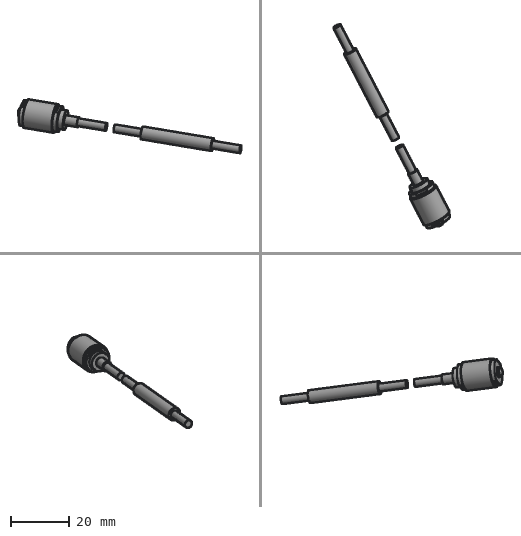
import cadquery as cq

body_dia = 10.0
land_dia = 9.0
collar_dia = 6.8
button_dia = 3.5
relief_dia = 3.5
cable_dia = 2.8
tube_dia = 4.5

dome_height = 0.7
front_face_x = 1.5
body_start_x = 3.0
body_end_x = 13.5
body_chamfer = 0.15
rear_face_x = 15.0
collar_end_x = 16.9
relief_end_x = 21.45
cable_break_x = 31.5

cable_restart_x = 34.5
tube_start_x = 44.35
tube_end_x = 69.5
overall_length = 79.5

flat_spacing = 8.0
flat_length = 1.0


def cylinder(diameter, start_x, end_x):
    """Round section on the X axis between two stations."""
    return cq.Workplane("YZ", origin=(start_x, 0, 0)).circle(diameter / 2).extrude(end_x - start_x)


def domed_button():
    """Round button closed by a spherical cap."""
    radius = button_dia / 2
    sphere_radius = (radius**2 + dome_height**2) / (2 * dome_height)
    sphere = cq.Workplane("XY").sphere(sphere_radius).translate((sphere_radius, 0, 0))
    return cylinder(button_dia, 0, front_face_x).intersect(sphere)


def chamfered_body():
    """Main barrel with a small chamfer on its rear rim."""
    return cylinder(body_dia, body_start_x, body_end_x).faces(">X").edges().chamfer(body_chamfer)


def cut_flats(solid, start_x):
    """Cut a pair of parallel flats over one flat length."""
    cutter_height = (body_dia - flat_spacing) / 2
    for side in (-1, 1):
        cutter = (
            cq.Workplane("XY")
            .box(flat_length, body_dia, cutter_height)
            .translate((start_x + flat_length / 2, 0, side * (flat_spacing + cutter_height) / 2))
        )
        solid = solid.cut(cutter)
    return solid


def make_sensor():
    """Stepped sensor head with its button, strain relief and cable stub."""
    sensor = cylinder(land_dia, front_face_x, rear_face_x)
    sensor = sensor.union(chamfered_body())
    sensor = cut_flats(sensor, front_face_x)
    sensor = cut_flats(sensor, rear_face_x - flat_length)
    sensor = sensor.union(domed_button())
    sensor = sensor.union(cylinder(collar_dia, rear_face_x, collar_end_x))
    sensor = sensor.union(cylinder(relief_dia, collar_end_x, relief_end_x))
    return sensor.union(cylinder(cable_dia, relief_end_x, cable_break_x))


def make_cable_end():
    """Far length of cable with a thicker tube around its middle."""
    cable = cylinder(cable_dia, cable_restart_x, overall_length)
    return cable.union(cylinder(tube_dia, tube_start_x, tube_end_x))


sensor = make_sensor()
cable_end = make_cable_end()

result = cq.Compound.makeCompound([sensor.val(), cable_end.val()])